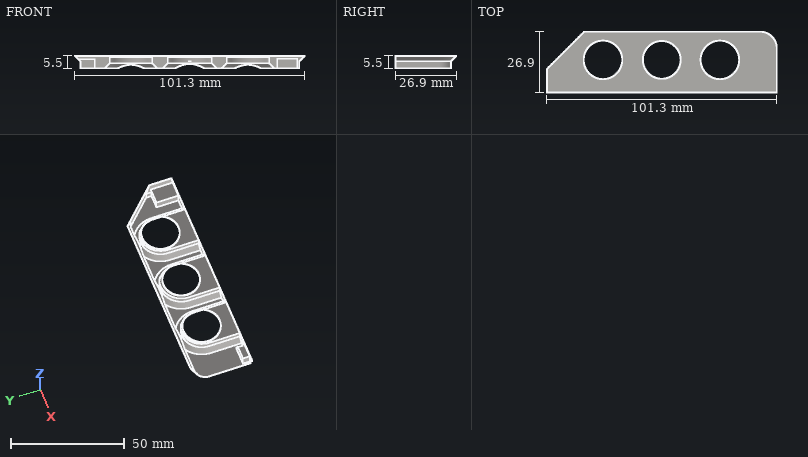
import cadquery as cq

LENGTH = 101.33
DEPTH = 26.92
HEIGHT = 5.5

DIAGONAL_CUT = 16.5
CORNER_RADIUS = 7.4

OVERHANG = 2.4

SKIN = 0.5
WINDOW_Y = 14.45
SLOT_STRAIGHT_HEIGHT = 2.7
WINDOWS = [
    (24.7, 16.9, 18.6),
    (50.6, 16.56, 19.3),
    (76.2, 16.9, 18.6),
]

LEFT_RECESS_LENGTH = 8.7
LEFT_RECESS_DEPTH = 10.3
LEFT_RECESS_ROOF = 1.5

RIGHT_RECESS_START = 89.2
RIGHT_RECESS_LENGTH = 8.7
RIGHT_RECESS_DEPTH = 3.15
RIGHT_RECESS_ROOF = 1.2


def box_at(x, y, z, length, depth, height):
    """Box with its lowest corner at (x, y, z)."""
    return cq.Workplane("XY").box(length, depth, height, centered=False).translate((x, y, z))


def flared_body():
    """Plate with overhanging edges on the left, right and back and an upright front."""
    flare = (
        cq.Workplane("XY")
        .sketch()
        .rect(LENGTH, 2 * DEPTH)
        .vertices()
        .fillet(CORNER_RADIUS)
        .finalize()
        .extrude(-OVERHANG, taper=45)
        .translate((LENGTH / 2, 0, HEIGHT))
    )
    core = (
        cq.Workplane("XY")
        .box(LENGTH - 2 * OVERHANG, 2 * (DEPTH - OVERHANG), HEIGHT - OVERHANG, centered=(False, True, False))
        .edges("|Z")
        .fillet(CORNER_RADIUS - OVERHANG)
        .translate((OVERHANG, 0, 0))
    )
    front_half = box_at(0, -DEPTH, 0, LENGTH, DEPTH, HEIGHT)
    return core.union(flare).cut(front_half)


def diagonal_corner():
    """Triangular prism that takes the back left corner off with an upright face."""
    return (
        cq.Workplane("XY")
        .moveTo(0, DEPTH - DIAGONAL_CUT)
        .lineTo(DIAGONAL_CUT, DEPTH)
        .lineTo(0, DEPTH)
        .close()
        .extrude(HEIGHT)
    )


def window_with_slot(x, window_diameter, slot_width):
    """Window through the skin, and the round-ended slot below it that flares to the underside."""
    slot_radius = slot_width / 2
    slot_top = HEIGHT - SKIN
    flare_height = slot_top - SLOT_STRAIGHT_HEIGHT
    half_profile = [
        (0, 0),
        (slot_radius + flare_height, 0),
        (slot_radius, flare_height),
        (slot_radius, slot_top),
        (0, slot_top),
    ]
    round_end = (
        cq.Workplane("XZ")
        .polyline(half_profile)
        .close()
        .revolve(360, (0, 0), (0, 1))
        .translate((x, WINDOW_Y, 0))
    )
    half_run = cq.Workplane("XZ").polyline(half_profile).close().extrude(-WINDOW_Y)
    run = half_run.union(half_run.mirror("YZ")).translate((x, 0, 0))
    window = cq.Workplane("XY").circle(window_diameter / 2).extrude(HEIGHT).translate((x, WINDOW_Y, 0))
    return round_end.union(run).union(window)


def left_recess():
    """Cutter for the front left corner recess."""
    return box_at(0, 0, 0, LEFT_RECESS_LENGTH, LEFT_RECESS_DEPTH, HEIGHT - LEFT_RECESS_ROOF)


def right_recess():
    """Cutter for the recess near the right end."""
    return box_at(
        RIGHT_RECESS_START, 0, 0, RIGHT_RECESS_LENGTH, RIGHT_RECESS_DEPTH, HEIGHT - RIGHT_RECESS_ROOF
    )


result = flared_body().cut(diagonal_corner())
for centre_x, diameter, width in WINDOWS:
    result = result.cut(window_with_slot(centre_x, diameter, width))
result = result.cut(left_recess()).cut(right_recess())